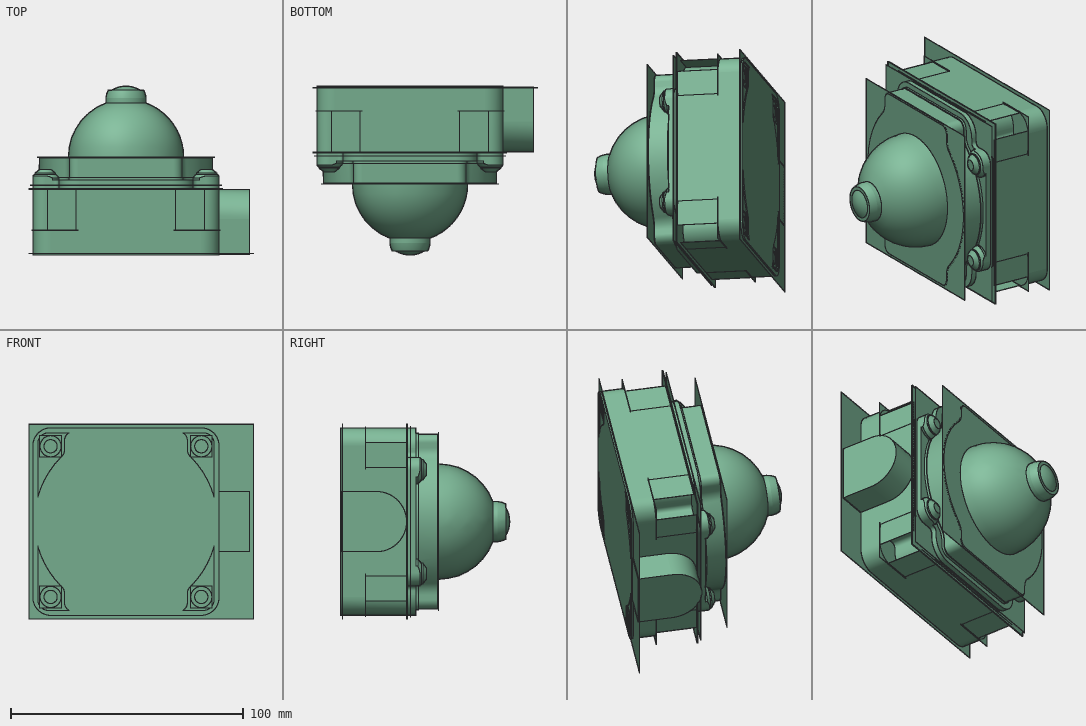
import cadquery as cq
import math

BODY_WIDTH = 80.2
BODY_HEIGHT = 80.8
BODY_CORNER = 7.75
BASE_DEPTH = 10.8
BODY_DEPTH = 28.8
PANEL_THICKNESS = 0.1
PANEL_SETBACK = 6.3

TALL_ARM_WIDTH = 57.7
TALL_ARM_CORNER = 8.7
WIDE_ARM_HEIGHT = 55.4
BOSS_RADIUS = 5.3
CROSS_FILLET = 2.1

LID_TOP = 32.4
BOSS_SKIRT_RADIUS = 6.2
BOSS_SHOULDER = 34.8
BOSS_SHOULDER_RADIUS = 4.65
SCREW_RADIUS = 4.5
SCREW_SIDE_TOP = 35.4
SCREW_TOP = 37.0
SCREW_TOP_RADIUS = 2.3
COVER_TOP = 42.2
COVER_RADIUS = 37.4
COVER_ARM_WIDTH = 48.4
COVER_ARM_HEIGHT = 75.4
COVER_CORNER = 3.7
COVER_FILLET = 6.8
COVER_CHAMFER = 0.5
COVER_FOOT_TOP = 33.4
COVER_FOOT_LIP = 0.4

DOME_RADIUS = 24.9
COLLAR_RADIUS = 8.7
COLLAR_TOP = 67.6
CAP_TOP = 71.1
CAP_TOP_RADIUS = 7.7
CAP_BULGE = 0.2
LENS_RADIUS = 6.1
TOTAL_DEPTH = 72.8

CONNECTOR_END = 53.3
CONNECTOR_RADIUS = 13.0
CONNECTOR_BACK = 0.4
CONNECTOR_AXIS = 15.4

BACK_PLATE_START = 0.7
PLATE_HEIGHT = 84.1
BACK_PLATE_LEFT = -41.8
BACK_PLATE_LENGTH = 96.9
THIN_PLATE = 0.1
RIM_PLATE = 0.4
RIM_PLATE_WIDTH = 83.3
SEAL_PLATE_START = 30
SEAL_PLATE_SIDE = 82.1
COVER_PLATE_WIDTH = 76.3
COVER_PLATE_HEIGHT = 76.7

TAB_OVERHANG = 0.4
TAB_INNER_X = 20.7
TAB_INNER_Z = 22.7

POCKET_MARGIN = 2.1
POCKET_DEPTH = 0.5
POCKET_CORNER = 4.65
POCKET_CIRCLE = 39.4
POCKET_INNER_X = 26.4
POCKET_FLARE_X = 24.5
POCKET_FLARE_START = 35.0
POCKET_FILLET = 3.9
SCREW_HOLE_OFFSET = 32.45
NUT_SIZE = 9.4
NUT_DEPTH = 0.6
RING_DIAMETER = 9.1
RING_DEPTH = 0.7
HOLE_DIAMETER = 5.7
HOLE_DEPTH = 1

BOSS_X = BODY_WIDTH / 2 - BOSS_RADIUS
BOSS_Z = WIDE_ARM_HEIGHT / 2 - BOSS_RADIUS
SIGNS = [(sx, sz) for sx in (-1, 1) for sz in (-1, 1)]


def plane_at(y):
    """Sketch plane at depth y, with sketch axes along X and Z."""
    return cq.Workplane("XZ", origin=(0, y, 0))


def block(width, height, start, end, corner=0.0):
    """Centred block between two depths, with optional rounded upright edges."""
    solid = plane_at(start).rect(width, height).extrude(start - end)
    if corner:
        solid = solid.edges("|Y").fillet(corner)
    return solid


def disc(radius, start, end):
    return plane_at(start).circle(radius).extrude(start - end)


def inner_corner(x, z):
    """Selects the edges along Y that stand close to (+-x, +-z)."""
    reach = 1.5
    boxes = [
        cq.selectors.BoxSelector(
            (sx * x - reach, -1, sz * z - reach), (sx * x + reach, TOTAL_DEPTH, sz * z + reach)
        )
        for sx, sz in SIGNS
    ]
    return boxes[0] + boxes[1] + boxes[2] + boxes[3]


def cross(start, end):
    """Cross-shaped block that leaves the four corners of the body open."""
    tall = block(TALL_ARM_WIDTH, BODY_HEIGHT, start, end, TALL_ARM_CORNER)
    wide = block(BODY_WIDTH, WIDE_ARM_HEIGHT, start, end, BOSS_RADIUS)
    corners = inner_corner(TALL_ARM_WIDTH / 2, WIDE_ARM_HEIGHT / 2)
    return tall.union(wide).edges("|Y").edges(corners).fillet(CROSS_FILLET)


def make_body():
    base = block(BODY_WIDTH, BODY_HEIGHT, 0, BASE_DEPTH, BODY_CORNER)
    body = base.union(cross(BASE_DEPTH, BODY_DEPTH))
    panel_width = BODY_WIDTH - 2 * PANEL_SETBACK
    panel_height = BODY_HEIGHT - 2 * PANEL_SETBACK
    panel_x = (BODY_WIDTH - PANEL_THICKNESS) / 2
    panel_z = (BODY_HEIGHT - PANEL_THICKNESS) / 2
    upright = block(PANEL_THICKNESS, panel_height, BASE_DEPTH, BODY_DEPTH)
    level = block(panel_width, PANEL_THICKNESS, BASE_DEPTH, BODY_DEPTH)
    for side in (-1, 1):
        body = body.union(upright.translate((side * panel_x, 0, 0)))
        body = body.union(level.translate((0, 0, side * panel_z)))
    return body


def make_boss():
    """Screw boss on the Y axis: conical skirt, short head and flat-topped taper."""
    skirt_top = BOSS_SHOULDER - (BOSS_SKIRT_RADIUS - BOSS_SHOULDER_RADIUS)
    profile = (
        cq.Workplane("XY")
        .moveTo(0, BODY_DEPTH)
        .lineTo(BOSS_SKIRT_RADIUS, BODY_DEPTH)
        .lineTo(BOSS_SKIRT_RADIUS, skirt_top)
        .lineTo(BOSS_SHOULDER_RADIUS, BOSS_SHOULDER)
        .lineTo(SCREW_RADIUS, BOSS_SHOULDER)
        .lineTo(SCREW_RADIUS, SCREW_SIDE_TOP)
        .lineTo(SCREW_TOP_RADIUS, SCREW_TOP)
        .lineTo(0, SCREW_TOP)
        .close()
    )
    return profile.revolve(360, (0, 0, 0), (0, 1, 0))


def make_lid():
    lid = cross(BODY_DEPTH, LID_TOP)
    boss_limit = cross(BODY_DEPTH, SCREW_TOP)
    for sx, sz in SIGNS:
        boss = make_boss().translate((sx * BOSS_X, 0, sz * BOSS_Z))
        lid = lid.union(boss.intersect(boss_limit))
    return lid


def cover_block(lip, start, end):
    """Round block with a rectangular arm above and below, widened all round by lip."""
    radius = COVER_RADIUS + lip
    width = COVER_ARM_WIDTH + 2 * lip
    arm = block(width, COVER_ARM_HEIGHT + 2 * lip, start, end, COVER_CORNER + lip)
    meet_z = math.sqrt(radius**2 - (width / 2) ** 2)
    corners = inner_corner(width / 2, meet_z)
    return arm.union(disc(radius, start, end)).edges("|Y").edges(corners).fillet(COVER_FILLET - lip)


def make_cover():
    foot = cover_block(COVER_FOOT_LIP, LID_TOP, COVER_FOOT_TOP)
    return cover_block(0, LID_TOP, COVER_TOP).faces(">Y").chamfer(COVER_CHAMFER).union(foot)


def make_dome():
    """Dome, collar, tapered cap and lens as one turned profile about the Y axis."""
    dome_top = COVER_TOP + math.sqrt(DOME_RADIUS**2 - COLLAR_RADIUS**2)
    half = DOME_RADIUS * math.sqrt(0.5)
    lens_height = TOTAL_DEPTH - CAP_TOP
    sphere_radius = (LENS_RADIUS**2 + lens_height**2) / (2 * lens_height)
    lens_mid_x = LENS_RADIUS / 2
    lens_mid_y = TOTAL_DEPTH - sphere_radius + math.sqrt(sphere_radius**2 - lens_mid_x**2)
    cap_mid = ((COLLAR_RADIUS + CAP_TOP_RADIUS) / 2 + CAP_BULGE, (COLLAR_TOP + CAP_TOP) / 2)
    profile = (
        cq.Workplane("XY")
        .moveTo(0, LID_TOP)
        .lineTo(DOME_RADIUS, LID_TOP)
        .lineTo(DOME_RADIUS, COVER_TOP)
        .threePointArc((half, COVER_TOP + half), (COLLAR_RADIUS, dome_top))
        .lineTo(COLLAR_RADIUS, COLLAR_TOP)
        .threePointArc(cap_mid, (CAP_TOP_RADIUS, CAP_TOP))
        .lineTo(LENS_RADIUS, CAP_TOP)
        .threePointArc((lens_mid_x, lens_mid_y), (0, TOTAL_DEPTH))
        .close()
    )
    return profile.revolve(360, (0, 0, 0), (0, 1, 0))


def make_connector():
    start = BODY_WIDTH / 2 - BOSS_RADIUS
    return (
        cq.Workplane("YZ", origin=(start, 0, 0))
        .moveTo(CONNECTOR_BACK, -CONNECTOR_RADIUS)
        .lineTo(CONNECTOR_AXIS, -CONNECTOR_RADIUS)
        .threePointArc((CONNECTOR_AXIS + CONNECTOR_RADIUS, 0), (CONNECTOR_AXIS, CONNECTOR_RADIUS))
        .lineTo(CONNECTOR_BACK, CONNECTOR_RADIUS)
        .close()
        .extrude(CONNECTOR_END - start)
    )


def make_plates():
    back = block(BACK_PLATE_LENGTH, PLATE_HEIGHT, BACK_PLATE_START, BACK_PLATE_START + THIN_PLATE)
    rim = block(RIM_PLATE_WIDTH, PLATE_HEIGHT, BODY_DEPTH - RIM_PLATE, BODY_DEPTH)
    seal = block(SEAL_PLATE_SIDE, SEAL_PLATE_SIDE, SEAL_PLATE_START, SEAL_PLATE_START + THIN_PLATE)
    cover = block(COVER_PLATE_WIDTH, COVER_PLATE_HEIGHT, COVER_TOP - THIN_PLATE, COVER_TOP)
    return [back.translate((BACK_PLATE_LEFT + BACK_PLATE_LENGTH / 2, 0, 0)), rim, seal, cover]


def make_tabs():
    outer_x = BODY_WIDTH / 2 + TAB_OVERHANG
    outer_z = BODY_HEIGHT / 2 + TAB_OVERHANG
    tab = block(outer_x - TAB_INNER_X, outer_z - TAB_INNER_Z, BASE_DEPTH - THIN_PLATE, BASE_DEPTH)
    centre_x = (outer_x + TAB_INNER_X) / 2
    centre_z = (outer_z + TAB_INNER_Z) / 2
    return [tab.translate((sx * centre_x, 0, sz * centre_z)) for sx, sz in SIGNS]


def make_corner_pocket():
    """Pocket in the +X +Z corner of the back face, bounded inward by a large circle."""
    right = BODY_WIDTH / 2 - POCKET_MARGIN
    top = BODY_HEIGHT / 2 - POCKET_MARGIN
    low = math.sqrt(POCKET_CIRCLE**2 - right**2)
    bend_x = POCKET_INNER_X + POCKET_FILLET
    bend_z = math.sqrt((POCKET_CIRCLE + POCKET_FILLET) ** 2 - bend_x**2)
    touch = POCKET_CIRCLE / (POCKET_CIRCLE + POCKET_FILLET)
    touch_point = (bend_x * touch, bend_z * touch)
    turn = math.pi + math.atan2(bend_z, bend_x) / 2
    bend_mid = (bend_x + POCKET_FILLET * math.cos(turn), bend_z + POCKET_FILLET * math.sin(turn))
    middle = (math.atan2(touch_point[1], touch_point[0]) + math.atan2(low, right)) / 2
    arc_mid = (POCKET_CIRCLE * math.cos(middle), POCKET_CIRCLE * math.sin(middle))
    flare_run = POCKET_INNER_X - POCKET_FLARE_X
    flare_rise = top - POCKET_FLARE_START
    flare_radius = (flare_run**2 + flare_rise**2) / (2 * flare_run)
    flare_turn = math.asin(flare_rise / flare_radius) / 2
    flare_mid = (
        POCKET_INNER_X - flare_radius * (1 - math.cos(flare_turn)),
        POCKET_FLARE_START + flare_radius * math.sin(flare_turn),
    )
    diagonal = POCKET_CORNER * (1 - math.sqrt(0.5))
    return (
        plane_at(0)
        .moveTo(right, low)
        .lineTo(right, top - POCKET_CORNER)
        .threePointArc((right - diagonal, top - diagonal), (right - POCKET_CORNER, top))
        .lineTo(POCKET_FLARE_X, top)
        .threePointArc(flare_mid, (POCKET_INNER_X, POCKET_FLARE_START))
        .lineTo(POCKET_INNER_X, bend_z)
        .threePointArc(bend_mid, touch_point)
        .threePointArc(arc_mid, (right, low))
        .close()
        .extrude(-POCKET_DEPTH)
    )


def make_back_recesses():
    """Corner pocket, square nut seat, ring and screw hole for the +X +Z corner."""
    centre = (SCREW_HOLE_OFFSET, 0, SCREW_HOLE_OFFSET)
    nut_seat = block(NUT_SIZE, NUT_SIZE, 0, NUT_DEPTH).translate(centre)
    ring = disc(RING_DIAMETER / 2, 0, RING_DEPTH).translate(centre)
    hole = disc(HOLE_DIAMETER / 2, 0, HOLE_DEPTH).translate(centre)
    return make_corner_pocket().union(nut_seat).union(ring).union(hole)


result = make_body()
for piece in [make_lid(), make_cover(), make_dome(), make_connector()] + make_plates() + make_tabs():
    result = result.union(piece)

recess = make_back_recesses()
mirrored = recess.mirror("YZ")
for cutter in (recess, mirrored, recess.mirror("XY"), mirrored.mirror("XY")):
    result = result.cut(cutter)